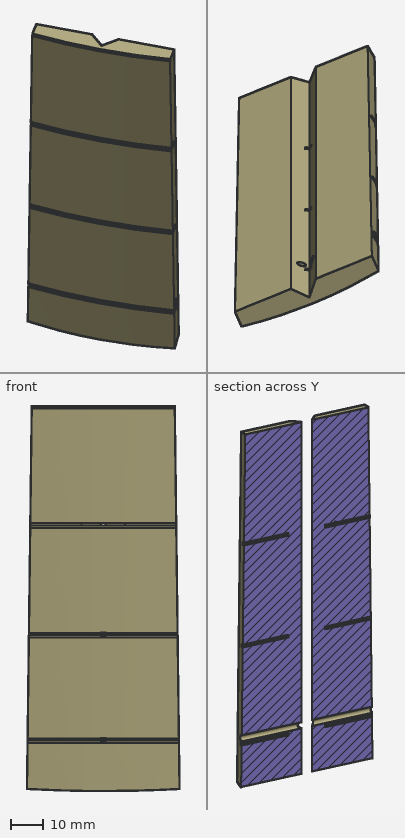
import cadquery as cq
import math

height = 119.0
thickness = 6.3
bottom_width = 47.2
top_width = 44.3
crown_height = 1.5
bottom_rise = 2.6

vee_depth = 4.3

slot_tops = [82.8, 48.9, 16.3]
slot_height = 0.7
slot_depth = 4.5
bridge_width = 13.3
bridge_slot_depth = 2.7

rebate_height = 0.7
rebate_depth = 0.2

cross_hole_diameter = 1.9
cross_hole_to_back = 2.5
cross_hole_z = 17.8

crown_radius = ((bottom_width / 2) ** 2 + crown_height ** 2) / (2 * crown_height)


def front_cylinder(radius, z_low, length):
    """Upright cylinder concentric with the curved front face."""
    axis_plane = cq.Workplane("XY", origin=(0, crown_radius, z_low))
    return axis_plane.circle(radius).extrude(length)


def tapered_body():
    outline = [
        (-bottom_width / 2, 0),
        (bottom_width / 2, 0),
        (top_width / 2, height),
        (-top_width / 2, height),
    ]
    slab = cq.Workplane("XZ").polyline(outline).close().extrude(-thickness)
    crowned = slab.intersect(front_cylinder(crown_radius, 0, height))
    underside = (
        cq.Workplane("YZ")
        .polyline([(0, 0), (thickness, bottom_rise), (thickness, 0)])
        .close()
        .extrude(bottom_width / 2, both=True)
    )
    return crowned.cut(underside)


def back_vee():
    half_width = vee_depth * math.tan(math.radians(45))
    return (
        cq.Workplane("XY")
        .polyline([
            (-half_width, thickness),
            (half_width, thickness),
            (0, thickness - vee_depth),
        ])
        .close()
        .extrude(height)
    )


def slot(z_top):
    """Full-width slot, deep at both sides and shallow across the bridge."""
    plane = cq.Workplane("XY", origin=(0, 0, z_top - slot_height))
    shallow = plane.rect(bottom_width, 2 * bridge_slot_depth).extrude(slot_height)
    deep = plane.rect(bottom_width, 2 * slot_depth).extrude(slot_height)
    bridge = plane.rect(bridge_width, 2 * slot_depth).extrude(slot_height)
    return deep.cut(bridge).union(shallow)


def top_edge_rebate(z_top):
    """Thin curved sliver that steps the front face back just below z_top."""
    z_low = z_top - rebate_height
    outer = front_cylinder(crown_radius + rebate_depth, z_low, rebate_height)
    return outer.cut(front_cylinder(crown_radius - rebate_depth, z_low, rebate_height))


def cross_hole():
    return (
        cq.Workplane("YZ", origin=(0, thickness - cross_hole_to_back, cross_hole_z))
        .circle(cross_hole_diameter / 2)
        .extrude(bottom_width / 2, both=True)
    )


result = tapered_body().cut(back_vee()).cut(cross_hole())
for slot_top in slot_tops:
    result = result.cut(slot(slot_top))
for panel_top in [height] + [slot_top - slot_height for slot_top in slot_tops]:
    result = result.cut(top_edge_rebate(panel_top))